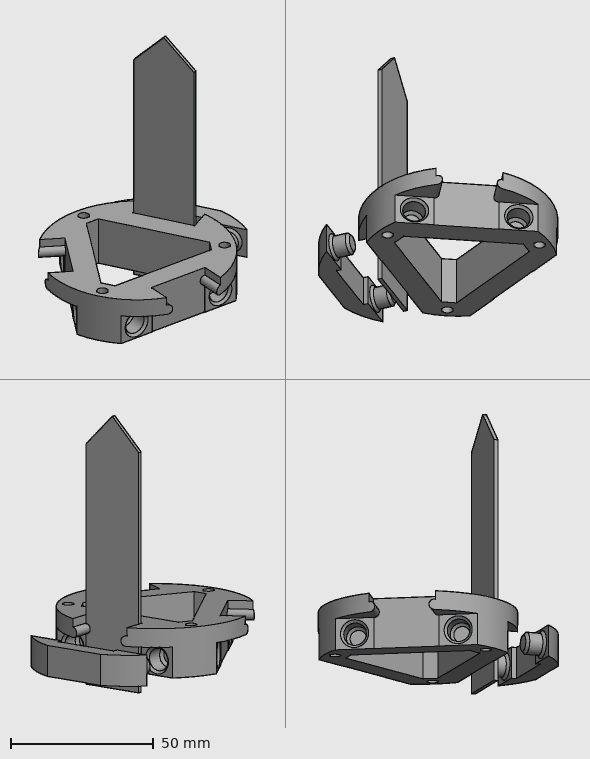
import cadquery as cq
import math

SIDE_ANGLES = (0, 120, 240)

FIRST_CORNER_ANGLE = 30

ring_radius = 35.0
ring_height = 17.9
seat_height = 11.2
seat_distance = 24.2

window_side_distance = 15.3
window_corner_distance = 26.0

screw_hole_diameter = 4.0
screw_hole_distance = 31.0

blade_width = 23.0
blade_thickness = 1.5
blade_length = 98
blade_drop = 7.0

slot_depth = 0.2
slot_width = blade_width
upper_slot_width = 23.6
bead_radius = 1.9
bead_height = seat_height + bead_radius
bead_top_height = bead_height + bead_radius

clip_shift = 15.2
clip_outer_flat_distance = 33.0
clip_notch_width = 24.2
clip_notch_depth = 1.9
pin_spacing = 36.8
pin_diameter = 7.8
pin_length = 7.0
pin_root_flare = 1
pin_tip_chamfer = 1.1

socket_diameter = 8.0
socket_depth = 8.0
socket_mouth_chamfer = 1
socket_end_chamfer = 1.1

peg_height = seat_height / 2
slot_floor_distance = seat_distance - slot_depth


def block(width, near_y, far_y, low_z, high_z):
    """Box centred on X = 0 between the given Y and Z limits."""
    size = (width, far_y - near_y, high_z - low_z)
    return cq.Workplane("XY").box(*size, centered=(True, False, False)).translate((0, near_y, low_z))


def on_each_side(shape):
    """Copies of a feature of the +Y side, one for each side of the ring."""
    return [shape.rotate((0, 0, 0), (0, 0, 1), angle) for angle in SIDE_ANGLES]


def make_peg_pair(radius, length, root_flare, tip_chamfer, root_y):
    """Pair of round pegs pointing towards -Y, flared at the root and chamfered at the tip."""
    profile = [
        (0, 0),
        (radius + root_flare, 0),
        (radius, -root_flare),
        (radius, tip_chamfer - length),
        (radius - tip_chamfer, -length),
        (0, -length),
    ]
    one = cq.Workplane("XY").polyline(profile).close().revolve(360, (0, 0), (0, 1))
    right = one.translate((pin_spacing / 2, root_y, peg_height))
    left = one.translate((-pin_spacing / 2, root_y, peg_height))
    return right.add(left)


def make_window():
    """Triangle with cut corners, through the whole ring."""
    corner_reach = 2 * window_side_distance
    half_corner_angle = math.radians(30)
    half_cut = (corner_reach - window_corner_distance) * math.tan(half_corner_angle)
    points = []
    for side_angle in SIDE_ANGLES:
        turn = math.radians(side_angle + FIRST_CORNER_ANGLE)
        for offset in (-half_cut, half_cut):
            x = window_corner_distance * math.cos(turn) - offset * math.sin(turn)
            y = window_corner_distance * math.sin(turn) + offset * math.cos(turn)
            points.append((x, y))
    return cq.Workplane("XY").polyline(points).close().extrude(ring_height)


def make_side_cut():
    """Clip seat and beaded slot removed from the +Y side; the rim cuts the beads off at its radius."""
    half_width = slot_width / 2
    half_upper = upper_slot_width / 2
    bead_crest = half_width - bead_radius
    slot = (
        cq.Workplane("XZ")
        .moveTo(-half_width, 0)
        .lineTo(half_width, 0)
        .lineTo(half_width, seat_height)
        .threePointArc((bead_crest, bead_height), (half_width, bead_top_height))
        .lineTo(half_upper, bead_top_height)
        .lineTo(half_upper, ring_height)
        .lineTo(-half_upper, ring_height)
        .lineTo(-half_upper, bead_top_height)
        .lineTo(-half_width, bead_top_height)
        .threePointArc((-bead_crest, bead_height), (-half_width, seat_height))
        .close()
        .extrude(slot_floor_distance - ring_radius)
        .translate((0, slot_floor_distance, 0))
    )
    seat = block(2 * ring_radius, seat_distance, ring_radius, 0, seat_height)
    return seat.union(slot)


def make_blade():
    """Flat upright blade with a right-angled point, resting on the plane of the clip seat."""
    half_width = blade_width / 2
    bottom = -blade_drop
    tip = bottom + blade_length
    shoulder = tip - half_width
    outline = [
        (-half_width, bottom),
        (half_width, bottom),
        (half_width, shoulder),
        (0, tip),
        (-half_width, shoulder),
    ]
    blade = cq.Workplane("XZ").polyline(outline).close().extrude(-blade_thickness)
    return blade.translate((0, seat_distance, 0))


def make_ring():
    ring = cq.Workplane("XY").circle(ring_radius).extrude(ring_height).cut(make_window())

    screw_holes = (
        cq.Workplane("XY")
        .polarArray(screw_hole_distance, FIRST_CORNER_ANGLE, 360, len(SIDE_ANGLES))
        .circle(screw_hole_diameter / 2)
        .extrude(ring_height)
    )
    ring = ring.cut(screw_holes)

    for side_cut in on_each_side(make_side_cut()):
        ring = ring.cut(side_cut)

    sockets = make_peg_pair(
        socket_diameter / 2, socket_depth, socket_mouth_chamfer, socket_end_chamfer, seat_distance
    )
    for solid in sockets.vals():
        for socket in on_each_side(cq.Workplane(solid)):
            ring = ring.cut(socket)

    return ring.cut(make_blade())


def make_clip():
    """Segment that completes the ring below the rim, with two pins, moved off its seat."""
    base_y = seat_distance
    segment = (
        cq.Workplane("XY")
        .circle(ring_radius)
        .extrude(seat_height)
        .intersect(block(2 * ring_radius, base_y, clip_outer_flat_distance, 0, seat_height))
    )
    clip = segment.cut(block(clip_notch_width, base_y, base_y + clip_notch_depth, 0, seat_height))
    pins = make_peg_pair(pin_diameter / 2, pin_length, pin_root_flare, pin_tip_chamfer, base_y)
    for pin in pins.vals():
        clip = clip.union(cq.Workplane(pin))
    return clip.translate((0, clip_shift, 0))


ring = make_ring()
blade = make_blade()
clip = make_clip()

result = cq.Compound.makeCompound([ring.solids().val(), blade.val(), clip.solids().val()])